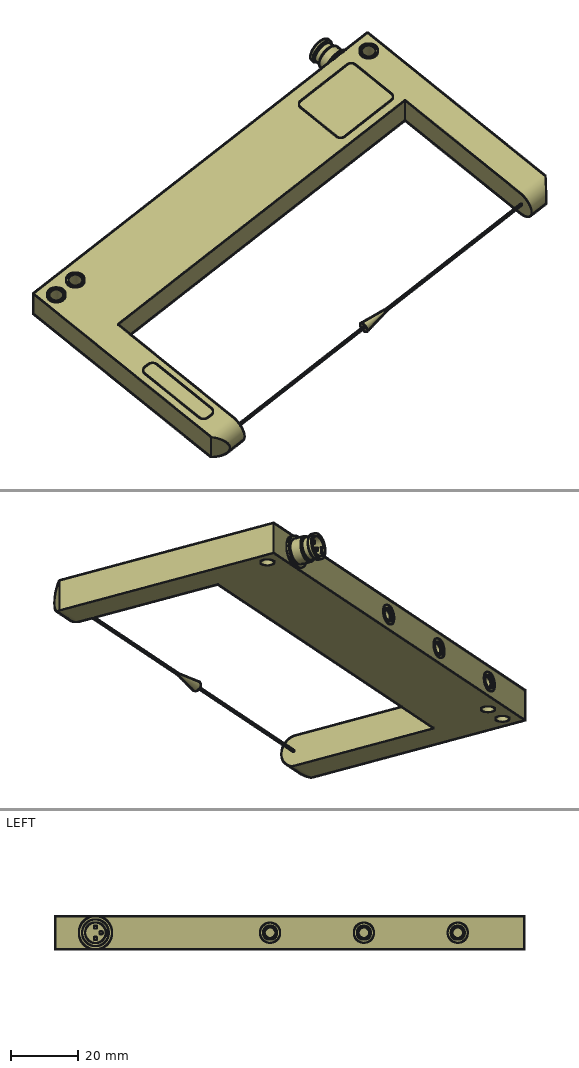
import cadquery as cq
import math

frame_length = 140.0
frame_width = 80.0
thickness = 10.0
arm_width = 10.0
spine_width = 26.0
half_length = frame_length / 2
half_thickness = thickness / 2
arm_inner_y = half_length - arm_width

nose_start_x = frame_width - half_thickness
tip_cut_x = 4.2
tip_cut_y = 3.8

mount_hole_diameter = 4.2
mount_rim_diameter = 5.6
mount_rim_depth = 0.1
mount_hole_x = 5.2
mount_edge_distance = 4.6
mount_pair_spacing = 8.0
mount_hole_ys = [
    half_length - mount_edge_distance,
    -half_length + mount_edge_distance,
    -half_length + mount_edge_distance + mount_pair_spacing,
]

side_hole_pitch = 28.0
side_hole_last_y = -50.1
side_hole_count = 3
side_hole_steps = [(6.0, 0.1), (4.2, 0.7), (3.2, 8.4)]

recess_depth = 0.1
label_size = (18.8, 23.0)
label_center = (13.7, 47.5)
label_corner_radius = 1.7
window_size = (26.7, 5.0)
window_center = (56.4, -64.8)
window_corner_radius = 1.8

connector_y = 58.0
connector_length = 8.1
connector_radius = 8.0 / 2
flange_radius = thickness / 2
flange_length = 0.8
neck_radius = 7.0 / 2
rim_length = 1.1
groove_length = 2.7
groove_slope = 0.4
socket_diameter = 6.2
socket_depth = 4.9
key_width = 2.0
key_reach = 3.5
key_depth = 1.0
pin_diameter = 1.0
pin_length = 3.5
pin_circle_radius = 1.7
pin_angles = [90, 180, 270]

wire_x = 75.6
wire_radius = 0.6 / 2
cone_base_radius = 3.2 / 2
cone_base_y = -6.0
cone_length = 10.0


def make_frame():
    outline = [
        (0, -half_length),
        (frame_width, -half_length),
        (frame_width, -arm_inner_y),
        (spine_width, -arm_inner_y),
        (spine_width, arm_inner_y),
        (frame_width, arm_inner_y),
        (frame_width, half_length),
        (0, half_length),
    ]
    plate = cq.Workplane("XY").polyline(outline).close().extrude(thickness)
    plate = plate.translate((0, 0, -half_thickness))
    return plate.intersect(make_nose_envelope()).cut(make_tip_cut(1)).cut(make_tip_cut(-1))


def make_nose_envelope():
    """Side profile with a half-round +X end, spanning the whole frame length."""
    return (
        cq.Workplane("XZ")
        .moveTo(0, -half_thickness)
        .lineTo(nose_start_x, -half_thickness)
        .threePointArc((frame_width, 0), (nose_start_x, half_thickness))
        .lineTo(0, half_thickness)
        .close()
        .extrude(half_length, both=True)
    )


def make_tip_cut(side):
    """Triangular prism that cuts the outer corner of the arm on the given Y side."""
    corner = [
        (frame_width - tip_cut_x, side * half_length),
        (frame_width, side * half_length),
        (frame_width, side * (half_length - tip_cut_y)),
    ]
    return cq.Workplane("XY").polyline(corner).close().extrude(thickness, both=True)


def make_mount_hole(y):
    """Through hole with a shallow counterbore at the top face."""
    hole = cq.Workplane("XY").circle(mount_hole_diameter / 2).extrude(half_thickness, both=True)
    rim_floor = cq.Workplane("XY", origin=(0, 0, half_thickness - mount_rim_depth))
    rim = rim_floor.circle(mount_rim_diameter / 2).extrude(mount_rim_depth)
    return hole.union(rim).translate((mount_hole_x, y, 0))


def make_x_cylinder(diameter, x_start, length, y, z=0):
    """Cylinder along +X."""
    return cq.Workplane("YZ", origin=(x_start, y, z)).circle(diameter / 2).extrude(length)


def make_recess(size, center, corner_radius):
    recess = cq.Workplane("XY").box(*size, recess_depth, centered=(True, True, False))
    recess = recess.edges("|Z").fillet(corner_radius)
    return recess.translate((*center, half_thickness - recess_depth))


def make_connector():
    """Flanged plug with a locking groove, an open keyed socket and contact pins."""
    front_x = -connector_length
    groove_start = front_x + rim_length
    groove_end = groove_start + groove_length
    profile = [
        (front_x, 0),
        (front_x, connector_radius),
        (groove_start, connector_radius),
        (groove_start + groove_slope, neck_radius),
        (groove_end - groove_slope, neck_radius),
        (groove_end, connector_radius),
        (-flange_length, connector_radius),
        (-flange_length, flange_radius),
        (0, flange_radius),
        (0, 0),
    ]
    connector = cq.Workplane("XY").polyline(profile).close().revolve(360, (0, 0), (1, 0))
    connector = connector.cut(make_x_cylinder(socket_diameter, front_x, socket_depth, 0))
    keyway = cq.Workplane("XY").box(key_depth, key_reach, key_width, centered=(False, False, True))
    connector = connector.cut(keyway.translate((front_x, -key_reach, 0)))
    for angle in pin_angles:
        pin_y = pin_circle_radius * math.cos(math.radians(angle))
        pin_z = pin_circle_radius * math.sin(math.radians(angle))
        pin_x = front_x + socket_depth - pin_length
        connector = connector.union(make_x_cylinder(pin_diameter, pin_x, pin_length, pin_y, pin_z))
    return connector.translate((0, connector_y, 0))


def make_housing():
    housing = make_frame()
    for y in mount_hole_ys:
        housing = housing.cut(make_mount_hole(y))
    for index in range(side_hole_count):
        y = side_hole_last_y + index * side_hole_pitch
        for diameter, depth in side_hole_steps:
            housing = housing.cut(make_x_cylinder(diameter, 0, depth, y))
    housing = housing.cut(make_recess(label_size, label_center, label_corner_radius))
    housing = housing.cut(make_recess(window_size, window_center, window_corner_radius))
    return housing.union(make_connector())


def make_wire():
    """Thin wire from arm to arm, carrying the cone."""
    profile = [
        (0, -arm_inner_y),
        (wire_radius, -arm_inner_y),
        (wire_radius, cone_base_y),
        (cone_base_radius, cone_base_y),
        (wire_radius, cone_base_y + cone_length),
        (wire_radius, arm_inner_y),
        (0, arm_inner_y),
    ]
    wire = cq.Workplane("XY").polyline(profile).close().revolve(360, (0, 0), (0, 1))
    return wire.translate((wire_x, 0, 0))


housing = make_housing()
wire = make_wire()
result = cq.Compound.makeCompound([housing.val(), wire.val()])